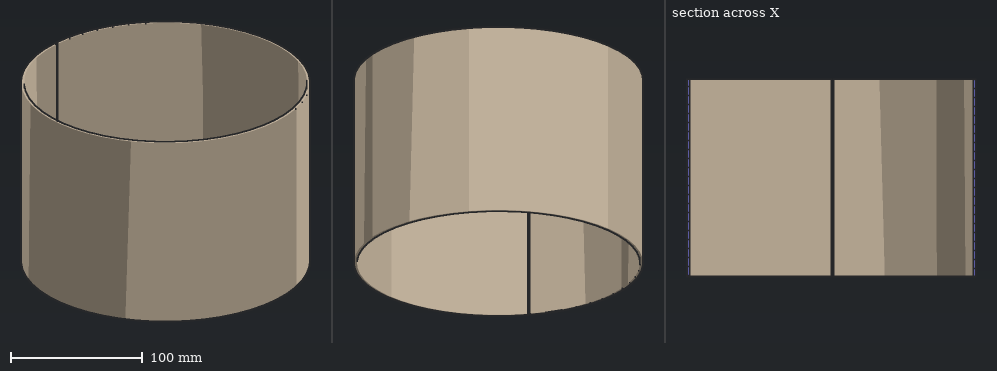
import cadquery as cq

outer_diameter = 220.0
height = 150.0
wall = 2.5
slit_width = 1.5
slit_center_y = 0.9

outer_radius = outer_diameter / 2
edge_round = 0.4
cutter_length = 4 * wall


def make_tube():
    inner_radius = outer_radius - wall
    tube = cq.Workplane("XY").circle(outer_radius).circle(inner_radius).extrude(height)
    return tube.faces("|Z").edges().fillet(edge_round)


def make_slit():
    """Full-height block that opens the wall on the -X side."""
    return (
        cq.Workplane("XY")
        .center(-outer_radius, slit_center_y)
        .rect(cutter_length, slit_width)
        .extrude(height)
    )


result = make_tube().cut(make_slit())